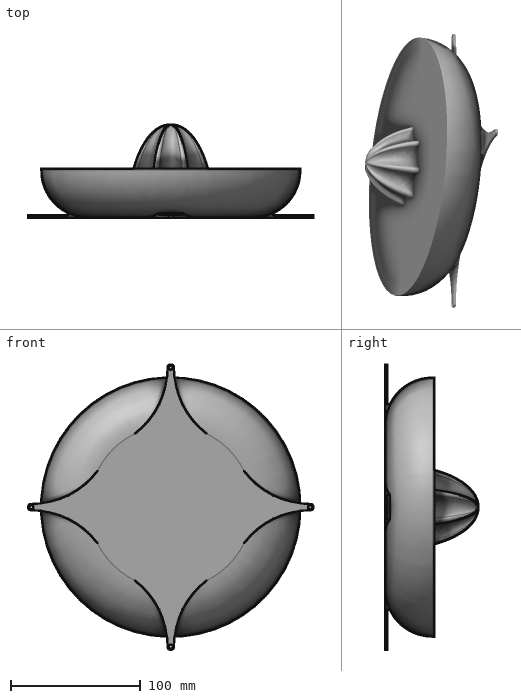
import cadquery as cq
import math


bowl_radius = 100.0
bowl_height = 38.0
foot_radius = 63.0
wall_radius = bowl_radius - foot_radius

leg_count = 4
leg_reach = 109.97
leg_tip_radius = 2.5
leg_hole_diameter = 3.0
leg_side_radius = 64.0
leg_side_sweep = 57.0
leg_thickness = 2.0
root_radius = 79.5
root_thickness = 4.0

total_height = 72.0
reamer_center = 2.0
rib_count = 8
crest_radius = 36.0
crease_radius = 33.0
flute_radius = 25.0
rib_half_angle = 5.0
reamer_embed = 3.0
apex_scale = 0.04
reamer_sections = 7


def polar(radius, angle):
    """Point at a radius and an angle in degrees."""
    return (radius * math.cos(math.radians(angle)), radius * math.sin(math.radians(angle)))


def plane_at(height):
    """Plane facing +Y at a height above the foot."""
    return cq.Workplane("XZ", origin=(0, height, 0)).workplane(invert=True)


def make_bowl():
    mid_x, mid_y = polar(wall_radius, -45)
    profile = (
        cq.Workplane("XY")
        .lineTo(foot_radius, 0)
        .threePointArc((foot_radius + mid_x, wall_radius + mid_y), (bowl_radius, wall_radius))
        .lineTo(bowl_radius, bowl_height)
        .lineTo(0, bowl_height)
        .close()
    )
    return profile.revolve(360, (0, 0, 0), (0, 1, 0))


def make_leg(thickness):
    """Leg pointing along +X, flared towards the axis by two concave arcs."""
    tip_center = leg_reach - leg_tip_radius
    side_center = leg_tip_radius + leg_side_radius
    bend_x, bend_y = polar(leg_side_radius, -90 - leg_side_sweep / 2)
    end_x, end_y = polar(leg_side_radius, -90 - leg_side_sweep)
    bend = (tip_center + bend_x, side_center + bend_y)
    end = (tip_center + end_x, side_center + end_y)
    return (
        plane_at(0)
        .lineTo(end[0], -end[1])
        .threePointArc((bend[0], -bend[1]), (tip_center, -leg_tip_radius))
        .threePointArc((leg_reach, 0), (tip_center, leg_tip_radius))
        .threePointArc(bend, end)
        .close()
        .extrude(thickness)
        .cut(plane_at(0).center(tip_center, 0).circle(leg_hole_diameter / 2).extrude(thickness))
    )


def make_legs():
    root_limit = plane_at(0).circle(root_radius).extrude(root_thickness)
    leg = make_leg(leg_thickness).union(make_leg(root_thickness).intersect(root_limit))
    legs = leg
    for index in range(1, leg_count):
        legs = legs.union(leg.rotate((0, 0, 0), (0, 1, 0), index * 360 / leg_count))
    return legs


def reamer_section(height, scale):
    """Closed outline of round ribs separated by concave flutes."""
    pitch = 360 / rib_count
    first_rib = pitch / 2
    outline = plane_at(height).moveTo(*polar(scale * crease_radius, first_rib - rib_half_angle))
    for index in range(rib_count):
        rib = first_rib + index * pitch
        crest = polar(scale * crest_radius, rib)
        rib_end = polar(scale * crease_radius, rib + rib_half_angle)
        flute = polar(scale * flute_radius, rib + pitch / 2)
        next_rib = polar(scale * crease_radius, rib + pitch - rib_half_angle)
        outline = outline.threePointArc(crest, rib_end).threePointArc(flute, next_rib)
    return outline.close().val()


def make_reamer():
    half_height = total_height - reamer_center
    root_height = bowl_height - reamer_embed
    root_angle = math.acos((root_height - reamer_center) / half_height)
    apex_angle = math.asin(apex_scale)
    sections = []
    for index in range(reamer_sections):
        angle = root_angle + (apex_angle - root_angle) * index / (reamer_sections - 1)
        rise = half_height * math.cos(angle) / math.cos(apex_angle)
        sections.append(reamer_section(reamer_center + rise, math.sin(angle)))
    return cq.Workplane(cq.Solid.makeLoft(sections))


result = make_bowl().union(make_legs()).union(make_reamer())